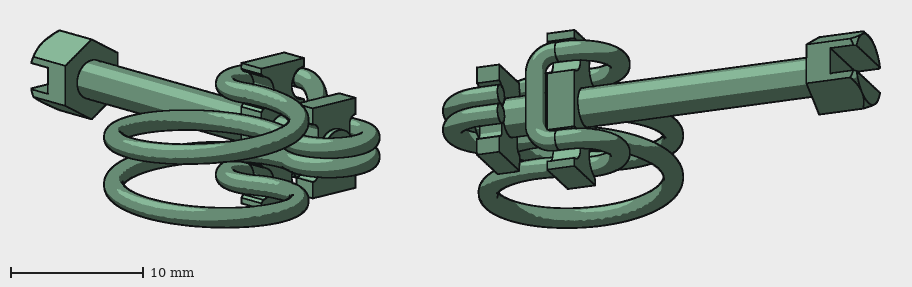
import cadquery as cq
import math


head_length = 3.98
head_across_flats = 5.43
slot_width = 2.05
slot_depth = 2.05
shaft_diameter = 3.0
screw_length = 31.3

wire_radius = 0.75
hook_radius = 3.08
ring_radius = 7.0
ring_x = 26.85
hook_spread = 3.45
hook_y = -0.07
left_hook_z = 3.55
right_hook_z = wire_radius
left_straight = 0.52
right_straight = 1.75

bridge_x = 25.75
bridge_bend_radius = 1.5

block_depth = 4.43
block_y = 0
left_block_x = 22.9
left_block_length = 2.2
left_block_half_height = 5.5
left_groove_radius = 1.28
left_groove_chamfer = 0.2
right_block_x = 29.0
right_block_length = 1.8
right_block_half_height = 3.53
right_groove_depth = 0.6
right_groove_height = 4.5

left_hook_x = ring_x - hook_spread
right_hook_x = ring_x + hook_spread
hook_to_ring = hook_radius + ring_radius
ring_y = hook_y - math.sqrt(hook_to_ring**2 - hook_spread**2)
tangent_angle = math.degrees(math.asin(hook_spread / hook_to_ring))
hook_arm_y = hook_y + hook_radius


def make_screw():
    """Hexagon-head screw, with a chamfered and slotted head and a plain shaft."""
    head_corner_radius = head_across_flats / math.sqrt(3)
    chamfer = head_corner_radius - head_across_flats / 2
    head = (
        cq.Workplane("YZ")
        .polygon(6, 2 * head_corner_radius)
        .extrude(head_length)
        .rotate((0, 0, 0), (1, 0, 0), 90)
    )
    round_blank = cq.Workplane("YZ").circle(head_corner_radius).extrude(head_length)
    chamfered_blank = round_blank.faces("<X").chamfer(chamfer)
    slot = cq.Workplane("XY").box(2 * slot_depth, 2 * head_across_flats, slot_width)
    shaft = cq.Workplane("YZ").workplane(offset=head_length).circle(shaft_diameter / 2)
    shaft = shaft.extrude(screw_length - head_length)
    return head.intersect(chamfered_blank).cut(slot).union(shaft)


def straight(start_x, z, length):
    """Straight wire along X on the +Y side of the hooks."""
    return cq.Solid.makeCylinder(
        wire_radius, length, cq.Vector(start_x, hook_arm_y, z), cq.Vector(1, 0, 0)
    )


def hook(centre_x, centre_z, turn):
    """Wire arc from the +Y end of a hook about its vertical axis, by a signed angle in degrees."""
    section = cq.Workplane("YZ", origin=(centre_x, hook_arm_y, centre_z)).circle(wire_radius)
    axis_start = (-hook_radius, 0)
    axis_end = (-hook_radius, math.copysign(1, turn))
    return section.revolve(abs(turn), axis_start, axis_end).val()


def make_coil():
    """Rising turn of wire from the right hook to the left hook."""
    turn = 360 + 2 * tangent_angle
    rise = left_hook_z - right_hook_z
    path = cq.Wire.makeHelix(rise * 360 / turn, rise, ring_radius)
    section = cq.Workplane("XZ").center(ring_radius, 0).circle(wire_radius)
    coil = section.sweep(cq.Workplane(obj=path), isFrenet=True)
    coil = coil.rotate((0, 0, 0), (0, 0, 1), 90 - tangent_angle)
    return coil.translate((ring_x, ring_y, right_hook_z)).val()


def make_upper_wire():
    """Free end, right hook, coil and left hook, joined end to end."""
    hook_turn = 180 + tangent_angle
    left_end = straight(left_hook_x, left_hook_z, left_straight)
    right_end = straight(right_hook_x - right_straight, right_hook_z, right_straight)
    left_hook = hook(left_hook_x, left_hook_z, hook_turn)
    right_hook = hook(right_hook_x, right_hook_z, -hook_turn)
    return cq.Workplane(obj=left_end.fuse(left_hook, make_coil(), right_hook, right_end))


def make_bridge():
    """U-shaped wire that joins the two left hooks and stands upright between them."""
    joint_x = left_hook_x + left_straight
    path = (
        cq.Workplane("XZ", origin=(0, hook_arm_y, 0))
        .moveTo(joint_x, left_hook_z)
        .lineTo(bridge_x - bridge_bend_radius, left_hook_z)
        .radiusArc((bridge_x, left_hook_z - bridge_bend_radius), bridge_bend_radius)
        .lineTo(bridge_x, 0)
    )
    section = cq.Workplane("YZ", origin=(joint_x, hook_arm_y, left_hook_z)).circle(wire_radius)
    upper_half = section.sweep(path)
    return upper_half.union(upper_half.mirror("XY"), clean=False)


def block_blank(start_x, length, half_height):
    """Plain block across the screw, with a screw hole along X."""
    blank = cq.Workplane("YZ", origin=(start_x, block_y, 0)).rect(block_depth, 2 * half_height)
    hole = cq.Workplane("YZ", origin=(start_x, 0, 0)).circle(shaft_diameter / 2)
    return blank.extrude(length).cut(hole.extrude(length))


def make_left_block():
    """Tall block with four half-round grooves, one at each crossing of a left hook.

    The groove edges on the -Y face are chamfered.
    """
    half_depth = block_depth / 2
    centres = [(y, z) for y in (-half_depth, half_depth) for z in (-left_hook_z, left_hook_z)]
    grooves = cq.Workplane("YZ", origin=(left_block_x, block_y, 0)).pushPoints(centres)
    grooves = grooves.circle(left_groove_radius).extrude(left_block_length)
    block = block_blank(left_block_x, left_block_length, left_block_half_height).cut(grooves)
    front_lips = block.edges("|X").edges("<Y").edges("not(>Z or <Z)")
    return front_lips.chamfer(left_groove_chamfer)


def make_right_block():
    """Short block with two round-ended grooves, each wide enough for both right hooks."""
    centres = [(-block_depth / 2, 0), (block_depth / 2, 0)]
    grooves = cq.Workplane("YZ", origin=(right_block_x, block_y, 0)).pushPoints(centres)
    grooves = grooves.slot2D(right_groove_height, 2 * right_groove_depth, 90).extrude(right_block_length)
    return block_blank(right_block_x, right_block_length, right_block_half_height).cut(grooves)


screw = make_screw()
upper_wire = make_upper_wire()
lower_wire = upper_wire.mirror("XY")
bridge = make_bridge()

left_block = make_left_block().cut(upper_wire).cut(lower_wire)
right_block = make_right_block().cut(upper_wire).cut(lower_wire)

result = cq.Compound.makeCompound(
    [
        screw.val(),
        upper_wire.val(),
        lower_wire.val(),
        bridge.val(),
        left_block.val(),
        right_block.val(),
    ]
)